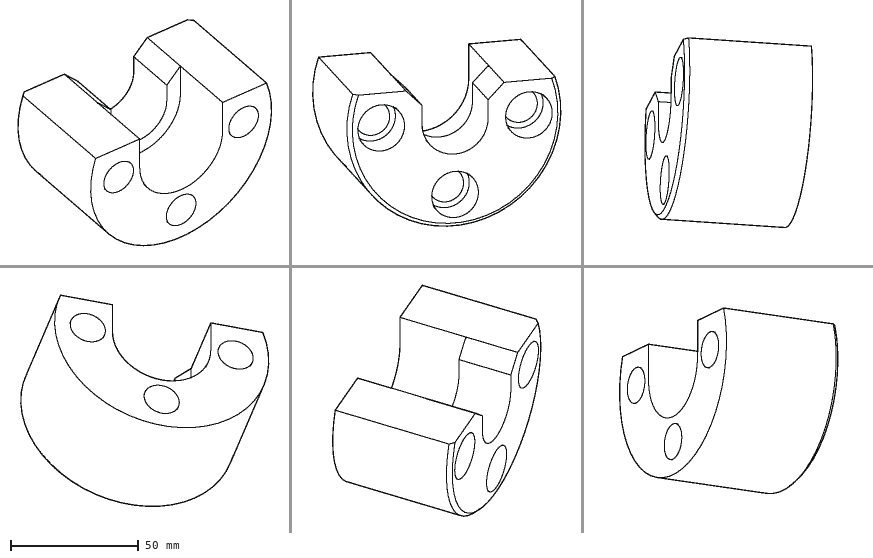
import cadquery as cq

length = 50.8
outer_radius = 43.65
flat_height = 14.3
edge_chamfer = 1.75

narrow_radius = 13.45
wide_radius = 20.0
narrow_length = 22.35
mouth_chamfer = wide_radius - narrow_radius

bolt_circle_radius = 30.1
hole_radius = 7.2
counterbore_radius = 9.5
counterbore_depth = 13.1
bolt_positions = [
    (-bolt_circle_radius, 0),
    (bolt_circle_radius, 0),
    (0, -bolt_circle_radius),
]


def section_plane(x):
    """Plane across the part at x; its local axes are Y and Z."""
    return cq.Workplane("YZ", origin=(x, 0, 0))


def make_body():
    bar = section_plane(0).circle(outer_radius).extrude(length)
    bar = bar.faces("<X").edges().chamfer(edge_chamfer)
    above_flat = (
        section_plane(0)
        .center(0, flat_height + outer_radius / 2)
        .rect(2 * outer_radius, outer_radius)
        .extrude(length)
    )
    return bar.cut(above_flat)


def make_channel(radius, start, depth):
    """Round-bottomed slot, open at the flat top."""
    return (
        section_plane(start)
        .moveTo(-radius, flat_height)
        .lineTo(-radius, 0)
        .threePointArc((0, -radius), (radius, 0))
        .lineTo(radius, flat_height)
        .close()
        .extrude(depth)
    )


def make_mouth():
    """Sloped lead-in at the top of the narrow channel."""
    return (
        section_plane(0)
        .moveTo(-wide_radius, flat_height)
        .lineTo(-narrow_radius, flat_height - mouth_chamfer)
        .lineTo(narrow_radius, flat_height - mouth_chamfer)
        .lineTo(wide_radius, flat_height)
        .close()
        .extrude(narrow_length)
    )


def make_holes(radius, depth):
    return section_plane(0).pushPoints(bolt_positions).circle(radius).extrude(depth)


result = (
    make_body()
    .cut(make_channel(narrow_radius, 0, narrow_length))
    .cut(make_channel(wide_radius, narrow_length, length - narrow_length))
    .cut(make_mouth())
    .cut(make_holes(hole_radius, length))
    .cut(make_holes(counterbore_radius, counterbore_depth))
)